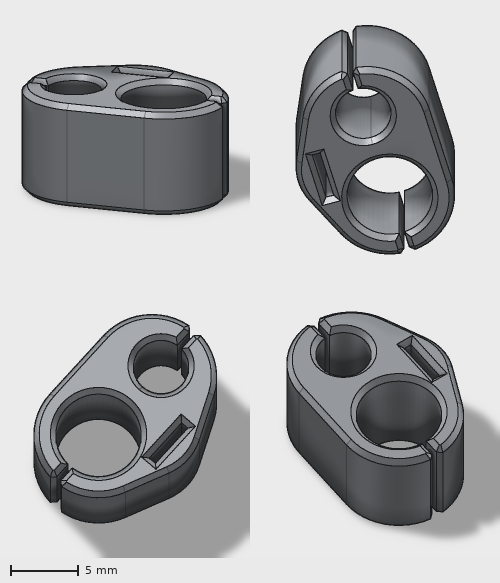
import cadquery as cq
import math

height = 8.0
lobe_radius = 4.8
lobe_offset = 3.0
crown_radius = 4.16
crown_top = 6.2

large_bore_radius = 3.17
large_bore_x = lobe_offset
small_bore_radius = 2.05
small_bore_x = -4.0
slit_width = 0.4

window_length = 3.6
window_width = 0.6
window_y = 4.29

edge_chamfer = 0.4
lip_chamfer = 0.35


def polar(center, radius, angle):
    """Point on a circle, with the angle in radians from the +X axis."""
    return (
        center[0] + radius * math.cos(angle),
        center[1] + radius * math.sin(angle),
    )


def mirrored(point):
    return (-point[0], point[1])


def make_body():
    crown_center = (0, crown_top - crown_radius)
    lobe_center = (lobe_offset, 0)

    center_distance = math.hypot(lobe_offset, crown_center[1])
    descent = math.atan2(crown_center[1], lobe_offset)
    taper = math.asin((lobe_radius - crown_radius) / center_distance)
    normal = math.pi / 2 - (descent - taper)

    crown_end = polar(crown_center, crown_radius, normal)
    lobe_start = polar(lobe_center, lobe_radius, normal)
    lobe_side = polar(lobe_center, lobe_radius, 0)
    lobe_bottom = polar(lobe_center, lobe_radius, -math.pi / 2)

    return (
        cq.Workplane("XY")
        .moveTo(*mirrored(crown_end))
        .threePointArc((0, crown_top), crown_end)
        .lineTo(*lobe_start)
        .threePointArc(lobe_side, lobe_bottom)
        .lineTo(*mirrored(lobe_bottom))
        .threePointArc(mirrored(lobe_side), mirrored(lobe_start))
        .close()
        .extrude(height)
    )


def make_bore(x, radius):
    """Round bore with a slit running outward past the nearest side."""
    bore = cq.Workplane("XY").center(x, 0).circle(radius).extrude(height)
    slit_length = 2 * lobe_radius
    slit_center = x + math.copysign(slit_length / 2, x)
    slit = (
        cq.Workplane("XY")
        .center(slit_center, 0)
        .rect(slit_length, slit_width)
        .extrude(height)
    )
    return bore.union(slit)


def make_window():
    return (
        cq.Workplane("XY")
        .center(0, window_y)
        .rect(window_length, window_width)
        .extrude(height)
    )


def chamfer_slit_lips(body):
    """Bevel the four vertical edges where the slits meet the outside."""
    lip_x = lobe_offset + math.sqrt(lobe_radius**2 - (slit_width / 2) ** 2)
    lips = cq.Workplane("XY").newObject([])
    for side in (-1, 1):
        for edge in (-1, 1):
            lip = (side * lip_x, edge * slit_width / 2, height / 2)
            lips = lips.add(body.edges(cq.selectors.NearestToPointSelector(lip)))
    return body.newObject([body.val().chamfer(lip_chamfer, None, lips.vals())])


body = make_body()
body = body.cut(make_bore(large_bore_x, large_bore_radius))
body = body.cut(make_bore(small_bore_x, small_bore_radius))
body = body.cut(make_window())
body = chamfer_slit_lips(body)
body = body.faces("<Z or >Z").edges().chamfer(edge_chamfer)

result = body